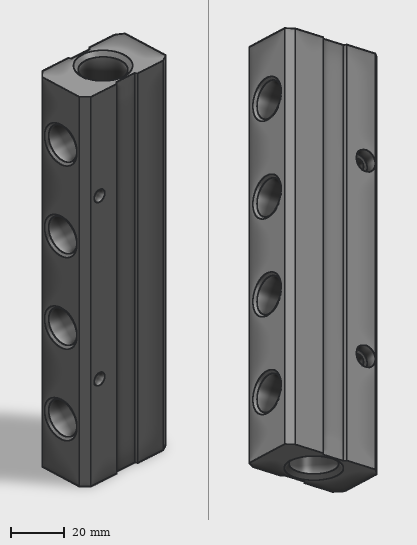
import cadquery as cq

width = 26.0
depth = 44.0
length = 170.0
half_width = width / 2
half_depth = depth / 2

front_chamfer = 3.0
back_chamfer_x = 2.0
back_chamfer_y = 3.4

groove_depth = 1.0
groove_mouth_half = 5.5
groove_floor_half = 4.8

bore_diameter = 18.5
bore_mouth_diameter = 22.1
port_diameter = 15.1
port_mouth_diameter = 17.3
port_count = 4
port_pitch = 40.0

mount_diameter = 5.5
mount_head_diameter = 8.8
mount_head_depth = 5.0
mount_y = -14.5
mount_spacing = 2 * port_pitch


def make_block():
    """Extrude the chamfered and grooved cross-section."""
    right_side = [
        (half_width - front_chamfer, -half_depth),
        (half_width, -half_depth + front_chamfer),
        (half_width, -groove_mouth_half),
        (half_width - groove_depth, -groove_floor_half),
        (half_width - groove_depth, groove_floor_half),
        (half_width, groove_mouth_half),
        (half_width, half_depth - back_chamfer_y),
        (half_width - back_chamfer_x, half_depth),
    ]
    left_side = [(-x, y) for x, y in reversed(right_side)]
    profile = cq.Workplane("XY").workplane(offset=-length / 2)
    return profile.polyline(right_side + left_side).close().extrude(length)


def make_countersunk_cutter(diameter, mouth_diameter, span):
    """Cylinder along Z with a 45 degree flare at both ends."""
    flare = (mouth_diameter - diameter) / 2
    return (
        cq.Workplane("XZ")
        .moveTo(0, -span / 2)
        .lineTo(mouth_diameter / 2, -span / 2)
        .lineTo(diameter / 2, -span / 2 + flare)
        .lineTo(diameter / 2, span / 2 - flare)
        .lineTo(mouth_diameter / 2, span / 2)
        .lineTo(0, span / 2)
        .close()
        .revolve(360, (0, 0), (0, 1))
    )


def make_mount_cutter():
    """Through hole along X with a counterbore on the -X side."""
    side = cq.Workplane("YZ").workplane(offset=-half_width)
    shank = side.circle(mount_diameter / 2).extrude(width)
    head = side.circle(mount_head_diameter / 2).extrude(mount_head_depth)
    return shank.union(head)


result = make_block()
result = result.cut(make_countersunk_cutter(bore_diameter, bore_mouth_diameter, length))

port_cutter = make_countersunk_cutter(port_diameter, port_mouth_diameter, depth)
port_cutter = port_cutter.rotate((0, 0, 0), (1, 0, 0), 90)
for index in range(port_count):
    port_z = (index - (port_count - 1) / 2) * port_pitch
    result = result.cut(port_cutter.translate((0, 0, port_z)))

mount_cutter = make_mount_cutter()
for mount_z in (-mount_spacing / 2, mount_spacing / 2):
    result = result.cut(mount_cutter.translate((0, mount_y, mount_z)))